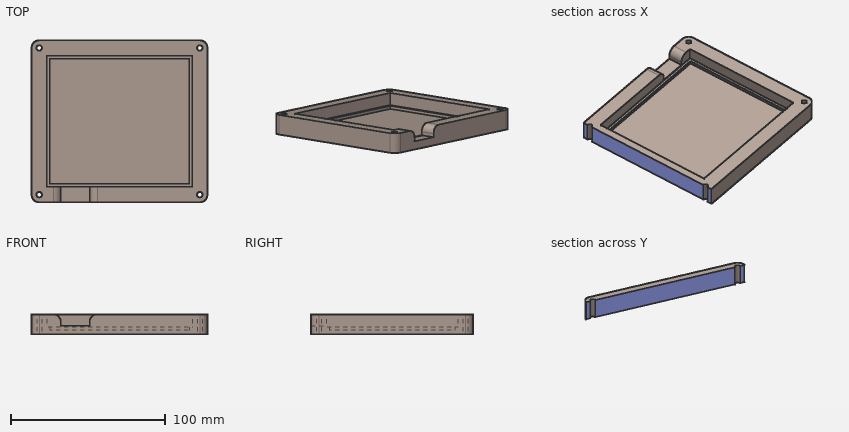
import cadquery as cq

length = 113.9
width = 104.9
height = 13.0
corner_radius = 5.0

wall = 10.0
ledge_width = 1.9
ledge_height = 5.0
floor_thickness = 3.0

screw_hole_diameter = 3.4

notch_left = 19.0
notch_width = 18.6
notch_floor_height = 5.5
notch_lip_radius = 5.0


def tray_body():
    block = cq.Workplane("XY").box(length, width, height, centered=(True, True, False))
    return block.edges("|Z").fillet(corner_radius)


def pocket(inset, bottom):
    """Rectangular cut with a constant inset from the outer sides, up to the top face."""
    return (
        cq.Workplane("XY")
        .workplane(offset=bottom)
        .rect(length - 2 * inset, width - 2 * inset)
        .extrude(height - bottom)
    )


def screw_holes():
    return (
        cq.Workplane("XY")
        .rect(length - 2 * corner_radius, width - 2 * corner_radius, forConstruction=True)
        .vertices()
        .circle(screw_hole_diameter / 2)
        .extrude(height)
    )


def cable_notch():
    """Straight-sided slot whose sides roll outward into the top face."""
    left = notch_left - length / 2
    right = left + notch_width
    lip_start = height - notch_lip_radius
    profile = (
        cq.Workplane("XZ", origin=(0, -width / 2, 0))
        .moveTo(left, notch_floor_height)
        .lineTo(right, notch_floor_height)
        .lineTo(right, lip_start)
        .radiusArc((right + notch_lip_radius, height), notch_lip_radius)
        .lineTo(left - notch_lip_radius, height)
        .radiusArc((left, lip_start), notch_lip_radius)
        .close()
    )
    return profile.extrude(-wall)


result = (
    tray_body()
    .cut(pocket(wall, ledge_height))
    .cut(pocket(wall + ledge_width, floor_thickness))
    .cut(screw_holes())
    .cut(cable_notch())
)